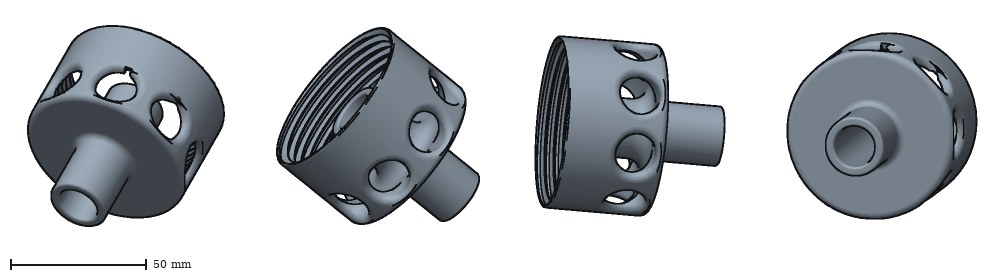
import cadquery as cq
import math


cup_radius = 31.9
cup_length = 38.1
wall_thickness = 3.2
floor_thickness = 2.8
edge_fillet = 2.54
rim_fillet = 0.64
lead_in = 2.45
wall_blend = 10.16
inner_radius = cup_radius - wall_thickness

stem_radius = 11.11
stem_length = 25.14
tube_end = 29.2
bore_radius = 7.7
tip_fillet = 1.02
tube_blend = 6.1

window_count = 8
window_radius = 7.62
window_offset = 10.55
window_spacing = 360 / window_count

thread_pitch = 3.4
thread_start = 18.9
thread_depth = 2.6
thread_half_width = 1.5
thread_root_half_width = 0.55
thread_overlap = 0.3


def rod(radius, start, end):
    """Round bar along Y from start to end."""
    return cq.Workplane("XZ", origin=(0, end, 0)).circle(radius).extrude(end - start)


def turn_about_y(shape, angle):
    """Shape rotated about the part's axis."""
    return shape.rotate((0, 0, 0), (0, 1, 0), angle)


def ring_edges(radius, position):
    """Selector for the circular edges up to a radius, in a thin slab at a Y position."""
    slack = 0.05
    reach = radius + slack
    return cq.selectors.BoxSelector(
        (-reach, position - slack, -reach), (reach, position + slack, reach), boundingbox=True
    )


def make_envelope():
    """Turned outer limit with rounded floor edge and rim, standing clear of the wall between them."""
    clearance = 1.0
    return (
        cq.Workplane("XY")
        .lineTo(cup_radius - edge_fillet, 0)
        .radiusArc((cup_radius, edge_fillet), -edge_fillet)
        .lineTo(cup_radius + clearance, edge_fillet + clearance)
        .lineTo(cup_radius + clearance, cup_length - rim_fillet - clearance)
        .lineTo(cup_radius, cup_length - rim_fillet)
        .radiusArc((cup_radius - rim_fillet, cup_length), -rim_fillet)
        .lineTo(0, cup_length)
        .close()
        .revolve(360, (0, 0, 0), (0, 1, 0))
    )


def is_window_mouth(edge):
    """True for the curved edges where a window meets the outer wall."""
    point = edge.positionAt(0.3)
    is_outside = math.hypot(point.x, point.z) > inner_radius
    return is_outside and edge.geomType() not in ("LINE", "CIRCLE")


def make_barrel():
    """Solid barrel with flared radial windows, trimmed to the turned envelope."""
    barrel = turn_about_y(rod(cup_radius, -edge_fillet, cup_length), window_spacing / 2)
    window_depth_limit = stem_radius + tube_blend
    window = (
        cq.Workplane("XY", origin=(0, window_offset, window_depth_limit))
        .circle(window_radius)
        .extrude(cup_radius)
    )
    for index in range(window_count):
        barrel = barrel.cut(turn_about_y(window, index * window_spacing))
    mouths = [edge for edge in barrel.edges().vals() if is_window_mouth(edge)]
    barrel = barrel.newObject(mouths).fillet(edge_fillet)
    return barrel.intersect(make_envelope())


def make_lead_in():
    """Cone that opens the cup mouth ahead of the thread."""
    return (
        cq.Workplane("XZ", origin=(0, cup_length, 0))
        .circle(inner_radius + lead_in)
        .workplane(offset=lead_in)
        .circle(inner_radius)
        .loft()
    )


def make_cavity():
    """Ring-shaped space between the cup wall and the inner tube."""
    cavity = rod(inner_radius, floor_thickness, cup_length)
    cavity = cavity.edges("<Y").fillet(wall_blend)
    cavity = cavity.union(make_lead_in())
    tube = rod(stem_radius, 0, tube_end).edges(">Y").fillet(tip_fillet)
    cavity = cavity.cut(tube)
    return cavity.edges(ring_edges(stem_radius, floor_thickness)).fillet(tube_blend)


def make_thread_turn():
    """One turn of the helical thread groove, starting on the +Z side beside a window."""
    flank_slope = (thread_half_width - thread_root_half_width) / thread_depth
    open_half_width = thread_half_width + flank_slope * thread_overlap
    open_radius = inner_radius - thread_overlap
    root_radius = inner_radius + thread_depth
    path = cq.Wire.makeHelix(thread_pitch, thread_pitch, inner_radius)
    groove = (
        cq.Workplane("XZ")
        .moveTo(open_radius, -open_half_width)
        .lineTo(root_radius, -thread_root_half_width)
        .lineTo(root_radius, thread_root_half_width)
        .lineTo(open_radius, open_half_width)
        .close()
        .sweep(cq.Workplane(path), isFrenet=True)
    )
    groove = groove.rotate((0, 0, 0), (1, 1, 1), -120)
    return groove.translate((0, thread_start, 0))


def cut_thread(cup):
    """Cup with the thread groove cut turn by turn until it runs out of the mouth."""
    groove = make_thread_turn()
    turn_count = math.ceil((cup_length - thread_start) / thread_pitch)
    for turn in range(turn_count):
        cup = cup.cut(groove.translate((0, turn * thread_pitch, 0)))
    return cup


def add_stem(cup):
    """Cup with the stem joined to its floor by a fillet."""
    stem = rod(stem_radius, -stem_length, floor_thickness / 2)
    stem = stem.edges("<Y").fillet(tip_fillet)
    return cup.union(stem).edges(ring_edges(stem_radius, 0)).fillet(edge_fillet)


def cut_bore(body):
    """Body with the through bore, rounded at both ends."""
    body = body.cut(rod(bore_radius, -stem_length, tube_end))
    for end in (-stem_length, tube_end):
        body = body.edges(ring_edges(bore_radius, end)).fillet(tip_fillet)
    return body


result = make_barrel().cut(make_cavity())
result = cut_thread(result)
result = add_stem(result)
result = cut_bore(result)